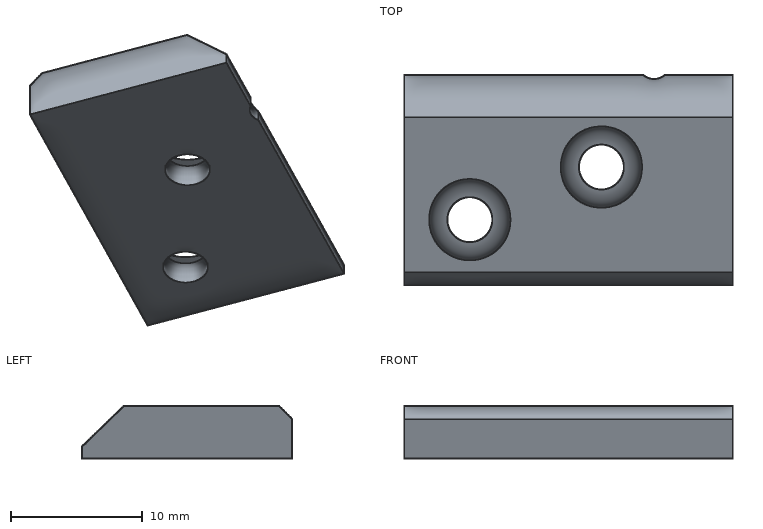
import cadquery as cq

length = 25.0
width = 16.0
thickness = 4.0

front_bevel = 1.0
back_bevel_run = 3.2
back_bevel_rise = 3.1

hole_centers = [(5.0, 5.0), (15.0, 9.0)]
hole_diameter = 3.4
counterbore_diameter = 6.2
counterbore_depth = 2.0

notch_x = 19.0
notch_radius = 1.25
notch_depth = 0.3


def beveled_plate():
    """Plate cross-section in the YZ plane, extruded along X."""
    profile = [
        (0, 0),
        (width, 0),
        (width, thickness - back_bevel_rise),
        (width - back_bevel_run, thickness),
        (front_bevel, thickness),
        (0, thickness - front_bevel),
    ]
    return cq.Workplane("YZ").polyline(profile).close().extrude(length)


def counterbored_hole(center):
    """Tool body for one through hole with a counterbore from the top face."""
    shank = cq.Workplane("XY").center(*center).circle(hole_diameter / 2).extrude(thickness)
    seat = (
        cq.Workplane("XY", origin=(0, 0, thickness))
        .center(*center)
        .circle(counterbore_diameter / 2)
        .extrude(-counterbore_depth)
    )
    return shank.union(seat)


def edge_notch():
    """Vertical cylinder that just clips the back edge."""
    notch_y = width + notch_radius - notch_depth
    return cq.Workplane("XY").center(notch_x, notch_y).circle(notch_radius).extrude(thickness)


result = beveled_plate()
for hole_center in hole_centers:
    result = result.cut(counterbored_hole(hole_center))
result = result.cut(edge_notch())